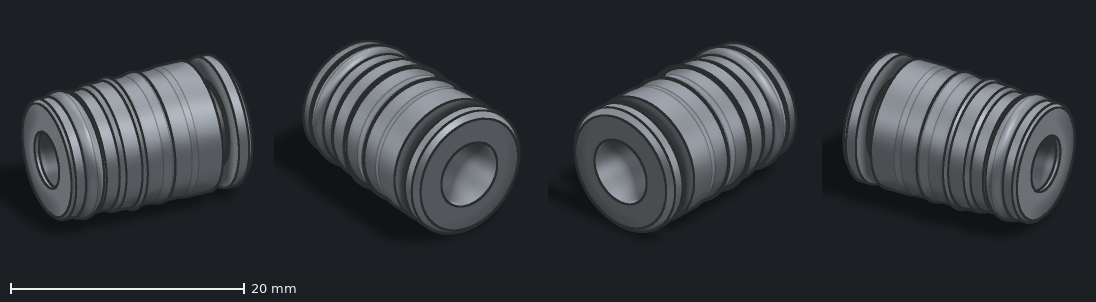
import cadquery as cq

length = 17.0
body_radius = 5.76
barb_diameter = 11.65
barb_radius = barb_diameter / 2
waist_radius = 5.65
sleeve_radius = 5.58
nose_radius = 5.3
neck_radius = 3.65

collar_thickness = 1.51
collar_chamfer = 0.55
neck_length = 1.5
neck_flare_radius = 3.8
neck_flare_length = 0.17
shoulder_cone_radius = 4.75
shoulder_cone_height = 0.22

body_end = 11.7
waist_top = 11.12
waist_bottom = 9.49
ridge_bottom = 9.26
sleeve_top = 8.45
barb_top = 6.83
barb_bottom = 6.46
nose_taper_top = 4.93
nose_taper_bottom = 4.42
nose_chamfer = 0.3

ring_y = 2.21
ring_outer_radius = 5.61
ring_section_radius = 0.94
groove_half_width = 0.99
groove_floor_radius = 3.82

lip_radius = 2.5
lip_length = 0.4
socket_radius = 3.0


def make_body():
    collar_bottom = length - collar_thickness
    shoulder = collar_bottom - neck_length
    groove_top = ring_y + groove_half_width
    groove_bottom = ring_y - groove_half_width
    half_section = [
        (0, 0),
        (nose_radius - nose_chamfer, 0),
        (nose_radius, nose_chamfer),
        (nose_radius, groove_bottom),
        (groove_floor_radius, groove_bottom),
        (groove_floor_radius, groove_top),
        (nose_radius, groove_top),
        (nose_radius, nose_taper_bottom),
        (sleeve_radius, nose_taper_top),
        (sleeve_radius, barb_bottom),
        (barb_radius, barb_top),
        (sleeve_radius, barb_top),
        (sleeve_radius, sleeve_top),
        (body_radius, ridge_bottom),
        (body_radius, waist_bottom),
        (waist_radius, waist_bottom),
        (waist_radius, waist_top),
        (body_radius, body_end),
        (body_radius, shoulder),
        (shoulder_cone_radius, shoulder),
        (neck_radius, shoulder + shoulder_cone_height),
        (neck_radius, collar_bottom - neck_flare_length),
        (neck_flare_radius, collar_bottom),
        (body_radius, collar_bottom),
        (body_radius, length - collar_chamfer),
        (body_radius - collar_chamfer, length),
        (0, length),
    ]
    return cq.Workplane("XY").polyline(half_section).close().revolve(360, (0, 0), (0, 1))


def make_ring():
    ring_center_radius = ring_outer_radius - ring_section_radius
    section = cq.Workplane("XY").center(ring_center_radius, ring_y).circle(ring_section_radius)
    return section.revolve(360, (-ring_center_radius, 0), (-ring_center_radius, 1))


def make_bore():
    half_section = [
        (0, 0),
        (lip_radius, 0),
        (lip_radius, lip_length),
        (socket_radius, lip_length),
        (socket_radius, length),
        (0, length),
    ]
    return cq.Workplane("XY").polyline(half_section).close().revolve(360, (0, 0), (0, 1))


result = make_body().union(make_ring()).cut(make_bore())